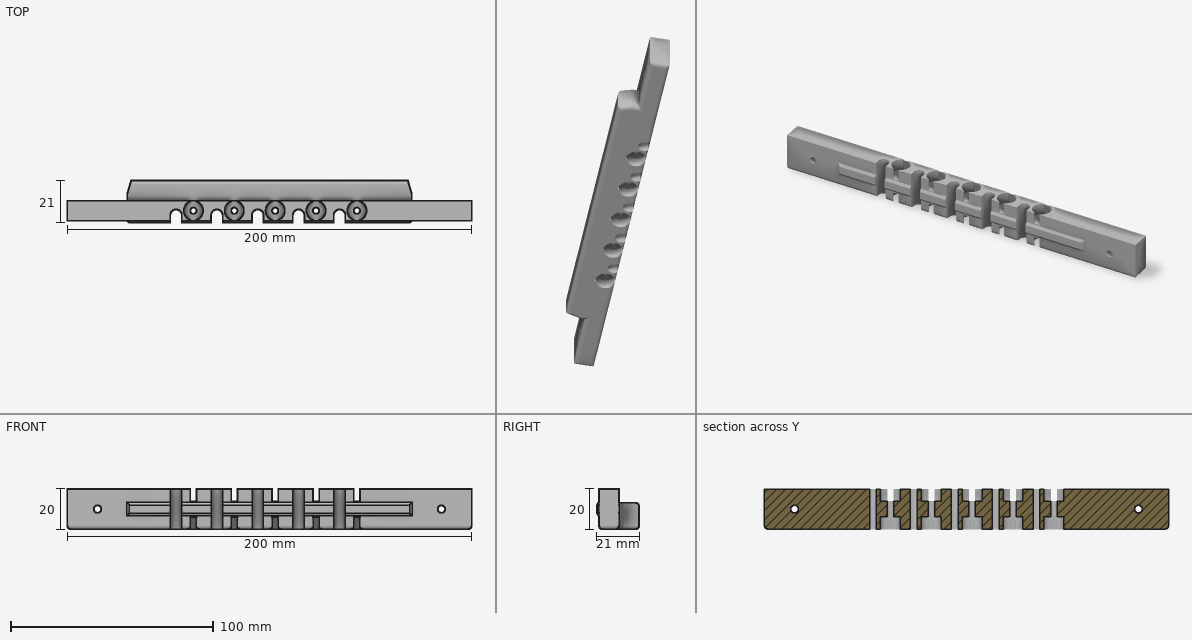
import cadquery as cq

bar_length = 200
bar_depth = 10
bar_height = 20
edge_radius = 2

block_depth = 10
block_height = 13.2
block_base_length = 140.8
block_tip_length = 136.8
block_straight_depth = 3.2

rib_length = 141.2
rib_base_height = 6.8
rib_slope_width = 1.5
rib_projection = 1.0

station_count = 5
station_pitch = 20.2
slot_middle_x = -5.8
slot_width = 5.5
slot_depth = 5.5
bore_middle_x = 2.8
bore_diameter = 9.5
bore_depth = 6
window_width = 3.0
core_hole_diameter = 3.0

mount_hole_spacing = 170
mount_hole_diameter = 3.5

bar_middle_y = bar_depth / 2
bar_middle_z = bar_height / 2


def station_points(middle_x, y):
    """Centres of one row of evenly spaced features."""
    first_x = middle_x - station_pitch * (station_count - 1) / 2
    return [(first_x + i * station_pitch, y) for i in range(station_count)]


def make_bar():
    """Bar with all bottom edges rounded."""
    bar = cq.Workplane("XY").box(bar_length, bar_depth, bar_height, centered=(True, False, False))
    return bar.faces("<Z").edges().fillet(edge_radius)


def make_block():
    """Back block: straight ends beside the bar, then tapering ends, with rounded edges."""
    back_y = bar_depth + block_depth
    straight_y = bar_depth + block_straight_depth
    half_base = block_base_length / 2
    half_tip = block_tip_length / 2
    outline = [
        (-half_base, bar_middle_y),
        (half_base, bar_middle_y),
        (half_base, straight_y),
        (half_tip, back_y),
        (-half_tip, back_y),
        (-half_base, straight_y),
    ]
    block = cq.Workplane("XY").polyline(outline).close().extrude(block_height)
    block = block.faces(">Y").edges(">Z").fillet(edge_radius)
    return block.faces("<Z").edges("not <Y").fillet(edge_radius)


def make_rib():
    """Front rib narrowing on all four sides towards its flat crest."""
    crest_length = rib_length - 2 * rib_slope_width
    crest_height = rib_base_height - 2 * rib_slope_width
    return (
        cq.Workplane("XZ", origin=(0, 0, bar_middle_z))
        .rect(rib_length, rib_base_height)
        .workplane(offset=rib_projection)
        .rect(crest_length, crest_height)
        .loft(ruled=True)
    )


def make_bores():
    """Bores from the bottom and the top of the bar, joined by narrow core holes."""
    points = station_points(bore_middle_x, bar_middle_y)
    bores = cq.Workplane("XY").pushPoints(points).circle(bore_diameter / 2).extrude(bore_depth)
    windows = cq.Workplane("XY").pushPoints(points).rect(window_width, bar_depth).extrude(bore_depth)
    lower = bores.union(windows)
    upper = lower.translate((0, 0, bar_height - bore_depth))
    core = cq.Workplane("XY").pushPoints(points).circle(core_hole_diameter / 2).extrude(bar_height)
    return lower.union(upper).union(core)


def make_slots():
    """Full-height slots, open at the front of the bar and rib, with a half-round back."""
    half_width = slot_width / 2
    wall_end_y = slot_depth - half_width
    slot = (
        cq.Workplane("XY")
        .moveTo(-half_width, -rib_projection)
        .lineTo(-half_width, wall_end_y)
        .threePointArc((0, slot_depth), (half_width, wall_end_y))
        .lineTo(half_width, -rib_projection)
        .close()
        .extrude(bar_height)
    )
    slots = cq.Workplane("XY")
    for x, y in station_points(slot_middle_x, 0):
        slots = slots.union(slot.translate((x, y, 0)))
    return slots


def make_mount_holes():
    """Holes running front to back through both bar ends."""
    half_spacing = mount_hole_spacing / 2
    return (
        cq.Workplane("XZ", origin=(0, 0, bar_middle_z))
        .pushPoints([(-half_spacing, 0), (half_spacing, 0)])
        .circle(mount_hole_diameter / 2)
        .extrude(-bar_depth)
    )


result = make_bar().union(make_block()).union(make_rib())
result = result.cut(make_bores()).cut(make_slots()).cut(make_mount_holes())